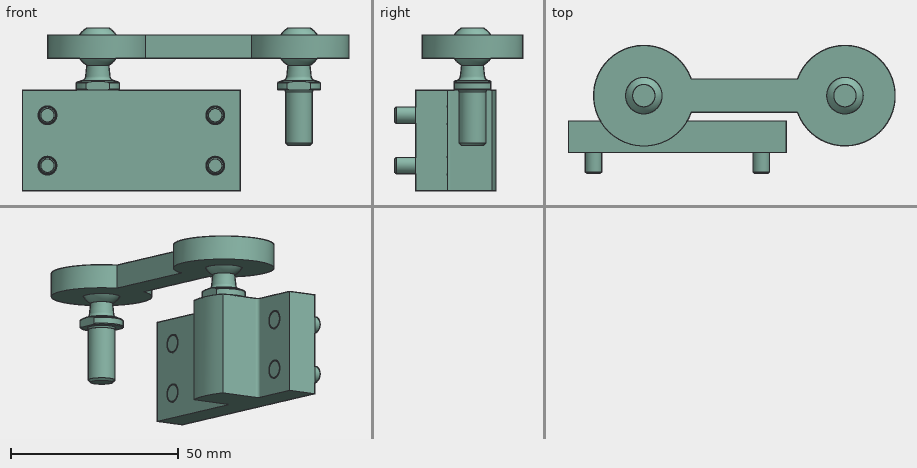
import cadquery as cq
import math


stud_spacing = 59.9
eye_diameter = 30.0
arm_thickness = 7.0
arm_width = 10.0

plate_length = 65.0
plate_thickness = 9.5
block_height = 30.0
plate_overhang = 97.45 - stud_spacing - eye_diameter / 2
plate_back_y = -7.5
rib_width = 14.2
rib_back_y = 7.0
rib_crown = 1.3
root_fillet = 1.0

pin_diameter = 5.0
pin_hole_diameter = 5.5
pin_protrusion = 6.2
pin_tip_chamfer = 0.5
pin_margin = 7.5
pin_spacing_x = plate_length - 2 * pin_margin
pin_spacing_z = block_height - 2 * pin_margin

ball_diameter = 13.0
ball_center_height = 13.0
stud_height = 18.5
neck_top_diameter = 6.6
neck_base_diameter = 7.3
collar_diameter = 13.0
collar_flats = 10.9
collar_top_diameter = 10.0
collar_height = 2.8
collar_rim_height = 2.3
collar_bevel = 0.3
neck_fillet_height = 1.4
shank_diameter = 8.0
shank_length = 16.5
shank_root_diameter = 8.5
shank_root_height = 0.6
shank_tip_diameter = 6.6

plate_front_y = plate_back_y - plate_thickness
plate_center_x = plate_length / 2 - plate_overhang
ball_center_z = block_height + ball_center_height


def make_stud(x):
    """Ball stud on the axis at x: shank, collar with two wrench flats, neck and truncated ball."""
    ball_radius = ball_diameter / 2
    neck_radius = neck_top_diameter / 2
    collar_radius = collar_diameter / 2
    shank_radius = shank_diameter / 2
    tip_radius = shank_tip_diameter / 2
    rim_radius = collar_radius - collar_bevel
    top_flat_radius = math.sqrt(ball_radius**2 - (stud_height - ball_center_height) ** 2)
    neck_top_height = ball_center_height - math.sqrt(ball_radius**2 - neck_radius**2)
    fillet_top = (neck_base_diameter / 2, collar_height + neck_fillet_height)
    fillet_end = (collar_top_diameter / 2, collar_height)
    diagonal = math.sqrt(0.5)
    fillet_middle = (
        fillet_end[0] - (fillet_end[0] - fillet_top[0]) * diagonal,
        fillet_top[1] - neck_fillet_height * diagonal,
    )

    body = (
        cq.Workplane("XZ")
        .moveTo(0, -shank_length)
        .lineTo(tip_radius, -shank_length)
        .lineTo(shank_radius, -shank_length + shank_radius - tip_radius)
        .lineTo(shank_radius, -shank_root_height)
        .lineTo(shank_root_diameter / 2, 0)
        .lineTo(rim_radius, 0)
        .lineTo(collar_radius, collar_bevel)
        .lineTo(collar_radius, collar_rim_height - collar_bevel)
        .lineTo(rim_radius, collar_rim_height)
        .lineTo(*fillet_end)
        .threePointArc(fillet_middle, fillet_top)
        .lineTo(neck_radius, neck_top_height)
        .threePointArc((ball_radius, ball_center_height), (top_flat_radius, stud_height))
        .lineTo(0, stud_height)
        .close()
        .revolve(360, (0, 0, 0), (0, 1, 0))
    )
    beside_flats = (
        cq.Workplane("XY")
        .rect(collar_diameter, 2 * collar_diameter)
        .rect(collar_diameter, collar_flats)
        .extrude(collar_height)
    )
    body = body.cut(beside_flats)
    return body.translate((x, 0, block_height))


def make_arm():
    """Flat link with a round eye and a spherical socket at each end."""
    stud_points = [(0, 0), (stud_spacing, 0)]
    level = cq.Workplane("XY", origin=(0, 0, ball_center_z - arm_thickness / 2))
    eyes = level.pushPoints(stud_points).circle(eye_diameter / 2).extrude(arm_thickness)
    bar = level.center(stud_spacing / 2, 0).rect(stud_spacing, arm_width).extrude(arm_thickness)
    sockets = (
        cq.Workplane("XY", origin=(0, 0, ball_center_z)).pushPoints(stud_points).sphere(ball_diameter / 2)
    )
    return eyes.union(bar).cut(sockets)


def pin_workplane(y):
    """Plane facing -Y with the four pin axes as its points."""
    return cq.Workplane("XZ", origin=(plate_center_x, y, block_height / 2)).rarray(
        pin_spacing_x, pin_spacing_z, 2, 2
    )


def make_block(stud):
    """Plate and rib, with pin holes and a bore that fits the stud's shank."""
    half_rib = rib_width / 2
    plate_left = -plate_overhang
    plate_right = plate_length - plate_overhang
    block = (
        cq.Workplane("XY")
        .moveTo(plate_left, plate_front_y)
        .lineTo(plate_right, plate_front_y)
        .lineTo(plate_right, plate_back_y)
        .lineTo(half_rib + root_fillet, plate_back_y)
        .radiusArc((half_rib, plate_back_y + root_fillet), root_fillet)
        .lineTo(half_rib, rib_back_y - rib_crown)
        .threePointArc((0, rib_back_y), (-half_rib, rib_back_y - rib_crown))
        .lineTo(-half_rib, plate_back_y + root_fillet)
        .radiusArc((-half_rib - root_fillet, plate_back_y), root_fillet)
        .lineTo(plate_left, plate_back_y)
        .close()
        .extrude(block_height)
    )
    pin_holes = pin_workplane(plate_back_y).circle(pin_hole_diameter / 2).extrude(plate_thickness)
    return block.cut(pin_holes).cut(stud)


def make_pins():
    """Four pins, flush with the plate's back and standing out of its front with chamfered tips."""
    pins = pin_workplane(plate_back_y).circle(pin_diameter / 2).extrude(plate_thickness + pin_protrusion)
    return pins.faces("<Y").chamfer(pin_tip_chamfer)


studs = [make_stud(x) for x in (0, stud_spacing)]
arm = make_arm()
block = make_block(studs[0])
pins = make_pins()

result = cq.Compound.makeCompound(
    [arm.val(), block.val(), *[stud.val() for stud in studs], *pins.vals()]
)